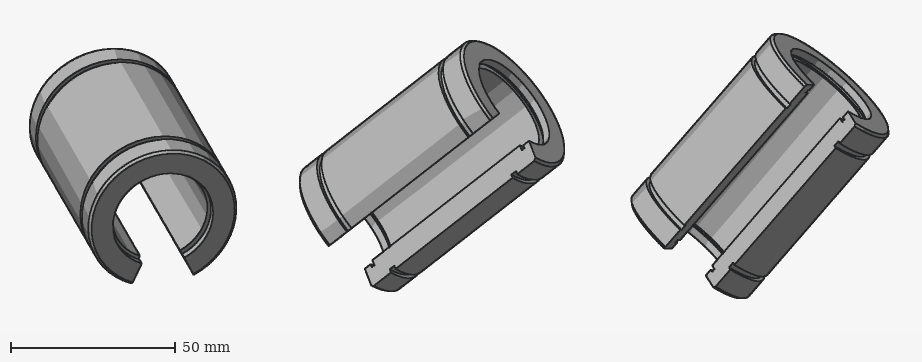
import cadquery as cq
import math

length = 68.0
outer_diameter = 46.9
bore_diameter = 30.0
end_chamfer = 0.8

recess_diameter = 31.7
recess_depth = 2.45
undercut_diameter = 34.0
undercut_width = 1.0

groove_diameter = 44.35
groove_width = 1.9
groove_offset = 7.9

opening_half_angle = 25.0

CLEARANCE = 0.7


def cylinder(diameter, start, width):
    """Solid cylinder on the X axis from x = start to x = start + width."""
    return cq.Workplane("YZ", origin=(start, 0, 0)).circle(diameter / 2).extrude(width)


def groove(start):
    """Ring of material removed from the outer surface."""
    blank = cylinder(outer_diameter + 2 * CLEARANCE, start, groove_width)
    return blank.cut(cylinder(groove_diameter, start, groove_width))


def opening():
    """Wedge with its tip on the axis, reaching below the sleeve."""
    depth = outer_diameter / 2 + CLEARANCE
    half_width = depth * math.tan(math.radians(opening_half_angle))
    profile = [(0, 0), (half_width, -depth), (-half_width, -depth)]
    return cq.Workplane("YZ").polyline(profile).close().extrude(length / 2 + CLEARANCE, both=True)


half_length = length / 2
sleeve = cylinder(outer_diameter, -half_length, length).edges("%CIRCLE").chamfer(end_chamfer)
sleeve = sleeve.cut(cylinder(bore_diameter, -half_length, length))

recess = cylinder(recess_diameter, -half_length, recess_depth)
undercut = cylinder(undercut_diameter, -half_length + recess_depth, undercut_width)
for end_feature in (recess, undercut, groove(-half_length + groove_offset)):
    sleeve = sleeve.cut(end_feature)
    sleeve = sleeve.cut(end_feature.mirror("YZ"))

result = sleeve.cut(opening())